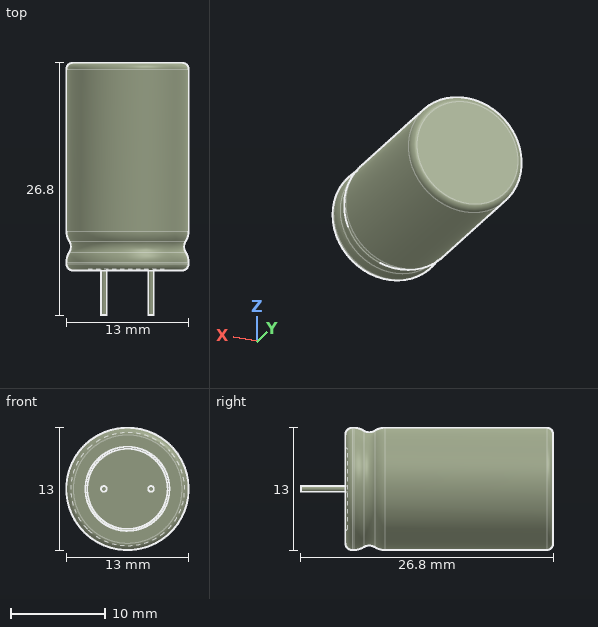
import cadquery as cq
import math

total_length = 26.75
body_diameter = 13.0
lead_exposed = 4.7
body_radius = body_diameter / 2
body_length = total_length - lead_exposed

front_rim_radius = 0.75
back_rim_radius = 0.7

groove_center = 2.55
shoulder_width = 1.07
throat_half_width = 0.6
groove_depth = 0.48

recess_mouth_radius = 4.47
recess_floor_radius = 4.25
recess_depth = 0.21

lead_diameter = 0.62
lead_spacing = 5.0


def rim_middle(center_radius, center_y, rim_radius, side):
    """Midpoint of a quarter-round rim; side is -1 at the lead end, +1 at the back."""
    offset = rim_radius * math.sqrt(0.5)
    return (center_radius + offset, center_y + side * offset)


def make_can():
    """Revolve the half profile (radius, y) of the can about the Y axis."""
    half_groove = shoulder_width + throat_half_width
    slope_angle = 2 * math.atan(groove_depth / half_groove)
    shoulder_radius = shoulder_width / math.sin(slope_angle)
    shoulder_drop = shoulder_radius * (1 - math.cos(slope_angle))
    shoulder_mid_drop = shoulder_radius * (1 - math.cos(slope_angle / 2))
    shoulder_mid_run = shoulder_radius * math.sin(slope_angle / 2)

    throat_edge_radius = body_radius - shoulder_drop
    shoulder_mid_radius = body_radius - shoulder_mid_drop
    groove_start = groove_center - half_groove
    groove_end = groove_center + half_groove
    front_corner_radius = body_radius - front_rim_radius
    back_corner_radius = body_radius - back_rim_radius
    back_rim_start = body_length - back_rim_radius

    profile = (
        cq.Workplane("XY")
        .moveTo(0, recess_depth)
        .lineTo(recess_floor_radius, recess_depth)
        .lineTo(recess_mouth_radius, 0)
        .lineTo(front_corner_radius, 0)
        .threePointArc(
            rim_middle(front_corner_radius, front_rim_radius, front_rim_radius, -1),
            (body_radius, front_rim_radius),
        )
        .lineTo(body_radius, groove_start)
        .threePointArc(
            (shoulder_mid_radius, groove_start + shoulder_mid_run),
            (throat_edge_radius, groove_center - throat_half_width),
        )
        .threePointArc(
            (body_radius - groove_depth, groove_center),
            (throat_edge_radius, groove_center + throat_half_width),
        )
        .threePointArc(
            (shoulder_mid_radius, groove_end - shoulder_mid_run),
            (body_radius, groove_end),
        )
        .lineTo(body_radius, back_rim_start)
        .threePointArc(
            rim_middle(back_corner_radius, back_rim_start, back_rim_radius, 1),
            (back_corner_radius, body_length),
        )
        .lineTo(0, body_length)
        .close()
    )
    return profile.revolve(360, (0, 0, 0), (0, 1, 0))


def make_leads():
    """Two round pins from the recess floor out to the -Y end."""
    lead_root = 2 * recess_depth
    return (
        cq.Workplane("XZ", origin=(0, lead_root, 0))
        .pushPoints([(-lead_spacing / 2, 0), (lead_spacing / 2, 0)])
        .circle(lead_diameter / 2)
        .extrude(lead_root + lead_exposed)
    )


result = make_can().union(make_leads())